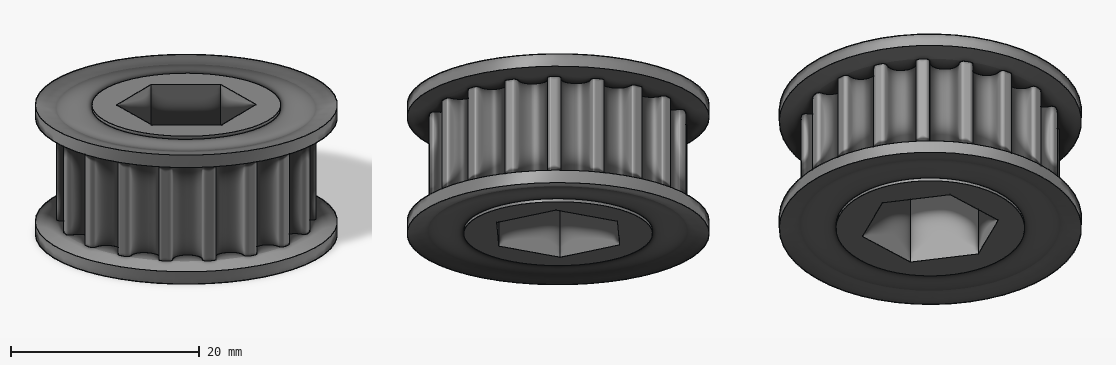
import cadquery as cq
import math

tooth_count = 18
tip_radius = 13.75
groove_depth = 2.06
groove_width = 3.16
tip_rounding = 0.45
belt_width = 11.0

total_height = 14.5
flange_radius = 16.0
flange_lean = 0.35

hub_radius = 10.0
hex_across_flats = 12.8

half_height = total_height / 2
half_belt = belt_width / 2
tooth_angle = 360 / tooth_count


def make_groove_cutter():
    """Cutter for one groove centred on the +X axis, with a rounded root and rounded mouth edges."""
    half_width = groove_width / 2
    root_x = tip_radius - groove_depth

    rounding_y = half_width + tip_rounding
    rounding_x = math.sqrt((tip_radius - tip_rounding) ** 2 - rounding_y**2)
    mouth_angle = math.atan2(rounding_y, rounding_x)
    mouth_x = tip_radius * math.cos(mouth_angle)
    mouth_y = tip_radius * math.sin(mouth_angle)
    middle_angle = (mouth_angle - math.pi / 2) / 2
    middle_x = rounding_x + tip_rounding * math.cos(middle_angle)
    middle_y = rounding_y + tip_rounding * math.sin(middle_angle)

    root_arc_radius = rounding_x - root_x
    flat_y = half_width - root_arc_radius
    arc_middle_x = rounding_x - root_arc_radius * math.cos(math.pi / 4)
    arc_middle_y = flat_y + root_arc_radius * math.sin(math.pi / 4)

    return (
        cq.Workplane("XY")
        .workplane(offset=-half_belt)
        .moveTo(mouth_x, mouth_y)
        .threePointArc((middle_x, middle_y), (rounding_x, half_width))
        .threePointArc((arc_middle_x, arc_middle_y), (root_x, flat_y))
        .lineTo(root_x, -flat_y)
        .threePointArc((arc_middle_x, -arc_middle_y), (rounding_x, -half_width))
        .threePointArc((middle_x, -middle_y), (mouth_x, -mouth_y))
        .lineTo(flange_radius, -mouth_y)
        .lineTo(flange_radius, mouth_y)
        .close()
        .extrude(belt_width)
    )


def make_toothed_body():
    """Cylinder between the flanges with a tooth land on the X axis and grooves all around."""
    body = cq.Workplane("XY").workplane(offset=-half_belt).circle(tip_radius).extrude(belt_width)
    cutter = make_groove_cutter()
    for index in range(tooth_count):
        angle = (index + 0.5) * tooth_angle
        body = body.cut(cutter.rotate((0, 0, 0), (0, 0, 1), angle))
    return body


def make_upper_flange():
    """Upper flange and raised hub face, revolved about Z."""
    return (
        cq.Workplane("XZ")
        .moveTo(0, half_belt)
        .lineTo(tip_radius, half_belt)
        .lineTo(flange_radius, half_belt + flange_lean)
        .lineTo(flange_radius, half_height)
        .lineTo(tip_radius, half_height - flange_lean)
        .lineTo(hub_radius, half_height - flange_lean)
        .lineTo(hub_radius, half_height)
        .lineTo(0, half_height)
        .close()
        .revolve(360, (0, 0, 0), (0, 1, 0))
    )


def make_hex_bore():
    """Hexagonal cutter running through the full height."""
    across_corners = hex_across_flats / math.cos(math.pi / 6)
    return (
        cq.Workplane("XY")
        .workplane(offset=-half_height)
        .polygon(6, across_corners)
        .extrude(total_height)
    )


upper_flange = make_upper_flange()
lower_flange = upper_flange.mirror("XY")
result = make_toothed_body().union(upper_flange).union(lower_flange).cut(make_hex_bore())